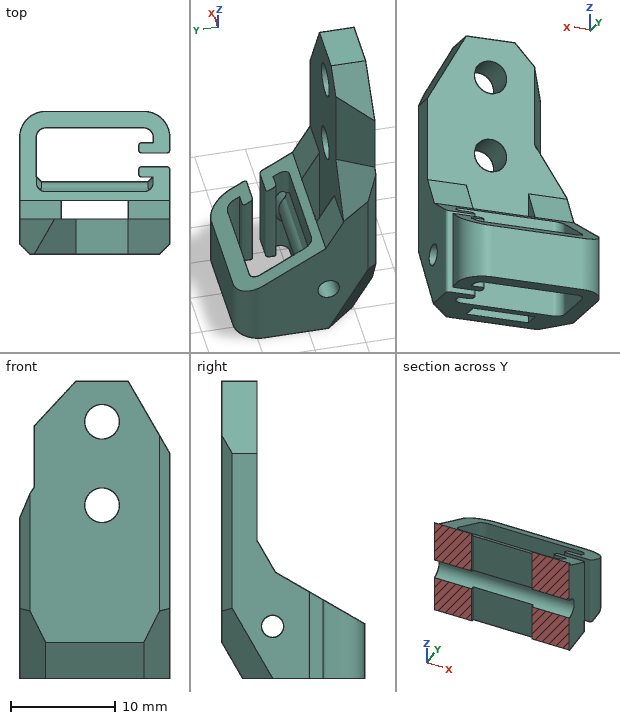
import cadquery as cq
import math

WIDTH = 14.4
DEPTH = 13.7
HEIGHT = 28.5

PLATE_THICKNESS = 3.4
STEEP_ANGLE = math.radians(60)
SHALLOW_ANGLE = math.radians(30)
FRONT_FOOT_BEVEL = 2.0
BLOCK_FRONT_Y = 5.15
BLOCK_BACK_HEIGHT = 5.25
BLOCK_FRONT_HEIGHT = BLOCK_BACK_HEIGHT + (DEPTH - BLOCK_FRONT_Y) * math.tan(SHALLOW_ANGLE)
PLATE_BACK_HEIGHT = BLOCK_FRONT_HEIGHT + (BLOCK_FRONT_Y - PLATE_THICKNESS) * math.tan(STEEP_ANGLE)

FRONT_CHAMFER = 1.0
FOOT_CORNER_CHAMFER = 2.5
BACK_RADIUS = 2.5

TOP_LEFT_X = 5.4
TOP_RIGHT_X = 10.4
TOP_LEFT_DROP = 4.3
NOTCH_FRONT_X = 1.4
NOTCH_ANGLE = math.radians(30)
NOTCH_BACK_X = NOTCH_FRONT_X + PLATE_THICKNESS * math.tan(NOTCH_ANGLE)
NOTCH_BOTTOM_Z = 18.35

SCREW_DIAMETER = 3.3
SCREW_X = (TOP_LEFT_X + TOP_RIGHT_X) / 2
SCREW_PITCH = 8.0
UPPER_SCREW_Z = 24.6

WALL = 1.6
CAVITY_FRONT_Y = 6.0
CAVITY_RADIUS = BACK_RADIUS - WALL
CAVITY_BACK_Y = DEPTH - WALL
CAVITY_RIGHT_X = WIDTH - WALL
CAVITY_CENTER_Y = (CAVITY_FRONT_Y + CAVITY_BACK_Y) / 2
GAP = 1.3
LIP_THICKNESS = 1.0
LIP_TIP_X = 11.4
LIP_RADIUS = 0.3

SLOT_LEFT_X = 4.0
SLOT_RIGHT_X = 10.4

PIN_DIAMETER = 2.1
PIN_Y = 4.87
PIN_Z = 5.0
RIB_RADIUS = 2.1
RIB_FLARE = 0.5
RIB_RAMP_START = math.radians(45)
RIB_RAMP_LEAN = math.radians(25)


def block(x0, x1, y0, y1, z0, z1):
    """Axis-aligned box between two opposite corners."""
    return cq.Workplane("XY").box(x1 - x0, y1 - y0, z1 - z0, centered=False).translate((x0, y0, z0))


def make_body():
    """Side outline across the full width, with its bevelled and rounded edges."""
    outline = [
        (FRONT_FOOT_BEVEL, 0),
        (DEPTH, 0),
        (DEPTH, BLOCK_BACK_HEIGHT),
        (BLOCK_FRONT_Y, BLOCK_FRONT_HEIGHT),
        (PLATE_THICKNESS, PLATE_BACK_HEIGHT),
        (PLATE_THICKNESS, HEIGHT),
        (0, HEIGHT),
        (0, FRONT_FOOT_BEVEL * math.tan(STEEP_ANGLE)),
    ]
    body = cq.Workplane("YZ").polyline(outline).close().extrude(WIDTH)
    body = body.edges("|Z and >Y").fillet(BACK_RADIUS)
    body = body.edges("|Z and <Y").chamfer(FRONT_CHAMFER)
    return body.cut(foot_corner(0, 1)).cut(foot_corner(WIDTH, -1))


def foot_corner(side_x, inward):
    """Bevel at 45 degrees between the sloped foot and one side face."""
    across = FOOT_CORNER_CHAMFER
    slope_plane = cq.Plane(
        origin=(side_x, FRONT_FOOT_BEVEL, 0),
        xDir=(inward, 0, 0),
        normal=(0, -math.cos(STEEP_ANGLE), math.sin(STEEP_ANGLE)),
    )
    profile = [(-across, 2 * across), (2 * across, -across), (-across, -across)]
    if inward < 0:
        profile = [(x, -y) for x, y in profile]
    return cq.Workplane(slope_plane).polyline(profile).close().extrude(HEIGHT / 2, both=True)


def top_corners():
    """Wedges that slope the two upper corners of the plate."""
    right_drop = (WIDTH - TOP_RIGHT_X) * math.tan(STEEP_ANGLE)
    left_drop = TOP_LEFT_DROP * TOP_LEFT_X / (TOP_LEFT_X - NOTCH_FRONT_X)
    left = [(0, HEIGHT), (TOP_LEFT_X, HEIGHT), (0, HEIGHT - left_drop)]
    right = [(WIDTH, HEIGHT), (TOP_RIGHT_X, HEIGHT), (WIDTH, HEIGHT - right_drop)]
    wedges = cq.Workplane("XZ").polyline(left).close().polyline(right).close()
    return wedges.extrude(-PLATE_THICKNESS)


def side_notch():
    """Slanted relief on the left of the plate, running out down a steep ramp."""
    reach = NOTCH_BACK_X
    profile_plane = cq.Plane(
        origin=(NOTCH_FRONT_X, 0, NOTCH_BOTTOM_Z),
        xDir=(math.cos(NOTCH_ANGLE), -math.sin(NOTCH_ANGLE), 0),
        normal=(-math.sin(NOTCH_ANGLE), -math.cos(NOTCH_ANGLE), 0),
    )
    rise = HEIGHT - NOTCH_BOTTOM_Z
    profile = [(0, 0), (0, rise), (-reach, rise), (-reach, -reach * math.tan(STEEP_ANGLE))]
    prism = cq.Workplane(profile_plane).polyline(profile).close().extrude(DEPTH, both=True)
    return prism.intersect(block(0, WIDTH, 0, PLATE_THICKNESS, 0, HEIGHT))


def screw_holes():
    """Two holes through the plate, one above the other."""
    centers = [(SCREW_X, UPPER_SCREW_Z), (SCREW_X, UPPER_SCREW_Z - SCREW_PITCH)]
    return cq.Workplane("XZ").pushPoints(centers).circle(SCREW_DIAMETER / 2).extrude(-PLATE_THICKNESS)


def lips():
    """Pair of lips facing each other across the gap in the right wall."""
    lower_edge = CAVITY_CENTER_Y - GAP / 2
    upper_edge = CAVITY_CENTER_Y + GAP / 2
    pair = cq.Workplane("XY")
    for y0 in (lower_edge - LIP_THICKNESS, upper_edge):
        lip = block(LIP_TIP_X, WIDTH, y0, y0 + LIP_THICKNESS, 0, HEIGHT)
        pair = pair.add(lip.edges("|Z and <X").fillet(LIP_RADIUS))
    return pair.combine()


def pin_rib():
    """Round rib along the pin, flared at the side walls, with a ramp up to the front wall."""
    outline = [
        (WALL, 0),
        (WALL, RIB_RADIUS + RIB_FLARE),
        (WALL + RIB_FLARE, RIB_RADIUS),
        (CAVITY_RIGHT_X - RIB_FLARE, RIB_RADIUS),
        (CAVITY_RIGHT_X, RIB_RADIUS + RIB_FLARE),
        (CAVITY_RIGHT_X, 0),
    ]
    rib = cq.Workplane("XY").polyline(outline).close().revolve(360, (0, 0, 0), (1, 0, 0))
    ramp_y = PIN_Y + RIB_RADIUS * math.cos(RIB_RAMP_START)
    ramp_z = PIN_Z + RIB_RADIUS * math.sin(RIB_RAMP_START)
    ramp_top_z = ramp_z + (ramp_y - CAVITY_FRONT_Y) / math.tan(RIB_RAMP_LEAN)
    ramp = [(CAVITY_FRONT_Y, PIN_Z), (ramp_y, ramp_z), (CAVITY_FRONT_Y, ramp_top_z)]
    gusset = cq.Workplane("YZ", origin=(WALL, 0, 0)).polyline(ramp).close()
    return rib.translate((0, PIN_Y, PIN_Z)).union(gusset.extrude(CAVITY_RIGHT_X - WALL))


def clip_cavity():
    """Space cut out of the clip block: channel and side gap, less lips and rib."""
    channel = block(WALL, CAVITY_RIGHT_X, CAVITY_FRONT_Y, CAVITY_BACK_Y, 0, HEIGHT)
    channel = channel.edges("|Z").fillet(CAVITY_RADIUS)
    gap = block(LIP_TIP_X, WIDTH, CAVITY_CENTER_Y - GAP / 2, CAVITY_CENTER_Y + GAP / 2, 0, HEIGHT)
    return channel.cut(lips()).cut(pin_rib()).union(gap)


def strap_slot():
    """Vertical slot between the plate and the clip."""
    return block(SLOT_LEFT_X, SLOT_RIGHT_X, PLATE_THICKNESS, BLOCK_FRONT_Y, 0, HEIGHT)


def pin_hole():
    """Cross hole through the whole width."""
    return cq.Workplane("YZ").center(PIN_Y, PIN_Z).circle(PIN_DIAMETER / 2).extrude(WIDTH)


result = make_body()
for cutter in (
    top_corners(),
    side_notch(),
    screw_holes(),
    clip_cavity(),
    strap_slot(),
    pin_hole(),
):
    result = result.cut(cutter)

gap_mouth = cq.selectors.BoxSelector(
    (CAVITY_RIGHT_X, CAVITY_CENTER_Y - GAP, 0),
    (WIDTH + WALL, CAVITY_CENTER_Y + GAP, HEIGHT),
)
result = result.edges("|Z").edges(gap_mouth).fillet(LIP_RADIUS)